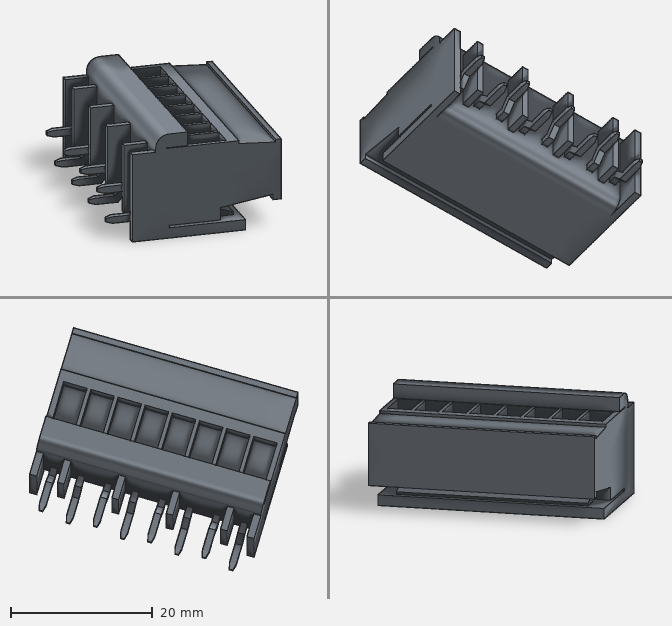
import cadquery as cq
import math

pole_count = 8
pole_pitch = 4.0
first_pole_x = 2.6
pole_positions = [first_pole_x + i * pole_pitch for i in range(pole_count)]

housing_width = 33.03
housing_depth = 22.0
overall_depth = 25.25
front_wall_y = 3.45
rib_top_z = 13.15
top_z = 13.55
corner_radius = 2.0

rear_top_y = 15.72
rear_top_z = 13.1
top_lip_depth = 0.83
top_lip_height = 0.4
bottom_lip_depth = 1.2
rear_lip_bottom_z = 4.1
rear_bottom_z = 4.92
rear_bottom_y = 13.0
throat_top_z = 3.75

latch_thickness = 1.55
latch_end_y = 16.7
latch_slot_height = 0.35
hook_end_y = 15.72
hook_peak_y = 13.67
hook_top_z = 2.65

lever_top_z = 15.7
lever_end_y = 8.15
lever_slot_height = 0.1
slot_front_y = 5.1

end_wall_thickness = 1.05
rib_thickness = 1
rib_count = 4
rib_pitch = 2 * pole_pitch
first_rib_x = first_pole_x + pole_pitch / 2
rib_bottom_z = 2.97

pocket_width = 3.45
pocket_rear_y = 14.07
pocket_depth = 2.87

pin_size = 1
pin_root_z = 4.43
pin_jog_height = 1.55
pin_jog_length = 1.32
pin_jog_middle_y = 1.4
pin_end_y = housing_depth - overall_depth
pin_tip_length = 0.92
pin_tip_size = 0.53
pin_insertion = 3.3


def extrude_along_x(outline, start_x, end_x):
    """Extrude an outline drawn in Y and Z from start_x to end_x."""
    return outline.close().extrude(end_x - start_x).translate((start_x, 0, 0))


def block(x_range, y_range, z_range):
    """Box between the given limits on each axis."""
    size = [high - low for low, high in (x_range, y_range, z_range)]
    corner = (x_range[0], y_range[0], z_range[0])
    return cq.Workplane("XY").box(*size, centered=False).translate(corner)


def main_body():
    """Full-width section with its rounded front edges, lever and latch arm."""
    diagonal = corner_radius * (1 - math.sqrt(0.5))
    slot_bottom_z = latch_thickness + latch_slot_height
    outline = (
        cq.Workplane("YZ")
        .moveTo(front_wall_y, corner_radius)
        .lineTo(front_wall_y, lever_top_z - corner_radius)
        .threePointArc(
            (front_wall_y + diagonal, lever_top_z - diagonal),
            (front_wall_y + corner_radius, lever_top_z),
        )
        .lineTo(lever_end_y, lever_top_z)
        .lineTo(lever_end_y, top_z + lever_slot_height)
        .lineTo(slot_front_y, top_z + lever_slot_height)
        .lineTo(slot_front_y, top_z)
        .lineTo(rear_top_y, top_z)
        .lineTo(rear_top_y, rear_top_z)
        .lineTo(housing_depth - top_lip_depth, rib_top_z - top_lip_height)
        .lineTo(housing_depth - top_lip_depth, rib_top_z)
        .lineTo(housing_depth, rib_top_z)
        .lineTo(housing_depth, rear_lip_bottom_z)
        .lineTo(housing_depth - bottom_lip_depth, rear_lip_bottom_z)
        .lineTo(housing_depth - bottom_lip_depth, rear_bottom_z)
        .lineTo(rear_bottom_y, throat_top_z)
        .lineTo(rear_bottom_y, slot_bottom_z)
        .lineTo(slot_front_y, slot_bottom_z)
        .lineTo(slot_front_y, latch_thickness)
        .lineTo(latch_end_y, latch_thickness)
        .lineTo(latch_end_y, 0)
        .lineTo(front_wall_y + corner_radius, 0)
        .threePointArc(
            (front_wall_y + diagonal, diagonal),
            (front_wall_y, corner_radius),
        )
    )
    return extrude_along_x(outline, 0, housing_width)


def latch_hook():
    """Ramped hook on the latch arm, set in from both ends of the housing."""
    outline = (
        cq.Workplane("YZ")
        .moveTo(rear_bottom_y, latch_thickness)
        .lineTo(rear_bottom_y, hook_top_z)
        .lineTo(hook_peak_y, hook_top_z)
        .lineTo(hook_end_y, latch_thickness + latch_slot_height)
        .lineTo(hook_end_y, latch_thickness)
    )
    return extrude_along_x(outline, pole_positions[0], pole_positions[-1])


def end_walls():
    """Walls closing both ends, reaching forward to the rib fronts and squaring the bottom edge."""
    rear_y = front_wall_y + corner_radius
    walls = []
    for start_x in (0, housing_width - end_wall_thickness):
        x_range = (start_x, start_x + end_wall_thickness)
        walls.append(block(x_range, (0, front_wall_y), (0, rib_top_z)))
        walls.append(block(x_range, (front_wall_y, rear_y), (0, corner_radius)))
    return walls


def front_ribs():
    """Upright ribs on the front wall, one to each pair of poles."""
    ribs = []
    for i in range(rib_count):
        start_x = first_rib_x + i * rib_pitch - rib_thickness / 2
        x_range = (start_x, start_x + rib_thickness)
        ribs.append(block(x_range, (0, front_wall_y), (rib_bottom_z, rib_top_z)))
    return ribs


def pocket(pole_x):
    """Rectangular pocket in the top face, behind the lever."""
    x_range = (pole_x - pocket_width / 2, pole_x + pocket_width / 2)
    return block(x_range, (lever_end_y, pocket_rear_y), (top_z - pocket_depth, top_z))


def pin_socket(pole_x):
    """Hole in the front wall that holds the root of a pin."""
    half = pin_size / 2
    return block(
        (pole_x - half, pole_x + half),
        (front_wall_y, front_wall_y + pin_insertion),
        (pin_root_z - half, pin_root_z + half),
    )


def make_housing():
    housing = main_body().union(latch_hook())
    for addition in end_walls() + front_ribs():
        housing = housing.union(addition)
    for pole_x in pole_positions:
        housing = housing.cut(pocket(pole_x)).cut(pin_socket(pole_x))
    return housing


def make_pin(pole_x, direction):
    """Square pin that jogs up (direction 1) or down (-1) and ends in a tapered tip."""
    half = pin_size / 2
    root_y = front_wall_y + pin_insertion
    shoulder_y = pin_end_y + pin_tip_length
    tip_z = pin_root_z + direction * pin_jog_height
    bend_shift = half * math.tan(math.atan2(pin_jog_height, pin_jog_length) / 2)
    jog_start_y = pin_jog_middle_y + pin_jog_length / 2
    jog_end_y = pin_jog_middle_y - pin_jog_length / 2
    outer = direction * half
    outline = (
        cq.Workplane("YZ")
        .moveTo(root_y, pin_root_z + outer)
        .lineTo(jog_start_y + bend_shift, pin_root_z + outer)
        .lineTo(jog_end_y + bend_shift, tip_z + outer)
        .lineTo(shoulder_y, tip_z + outer)
        .lineTo(shoulder_y, tip_z - outer)
        .lineTo(jog_end_y - bend_shift, tip_z - outer)
        .lineTo(jog_start_y - bend_shift, pin_root_z - outer)
        .lineTo(root_y, pin_root_z - outer)
    )
    shank = extrude_along_x(outline, pole_x - half, pole_x + half)
    tip = (
        cq.Workplane("XZ", origin=(pole_x, shoulder_y, tip_z))
        .rect(pin_size, pin_size)
        .workplane(offset=pin_tip_length)
        .rect(pin_tip_size, pin_tip_size)
        .loft(combine=True)
    )
    return shank.union(tip)


housing = make_housing()

pins = []
for i, pole_x in enumerate(pole_positions):
    direction = 1 if i % 2 == 0 else -1
    pins.append(make_pin(pole_x, direction).val())

result = cq.Compound.makeCompound([housing.val(), *pins])